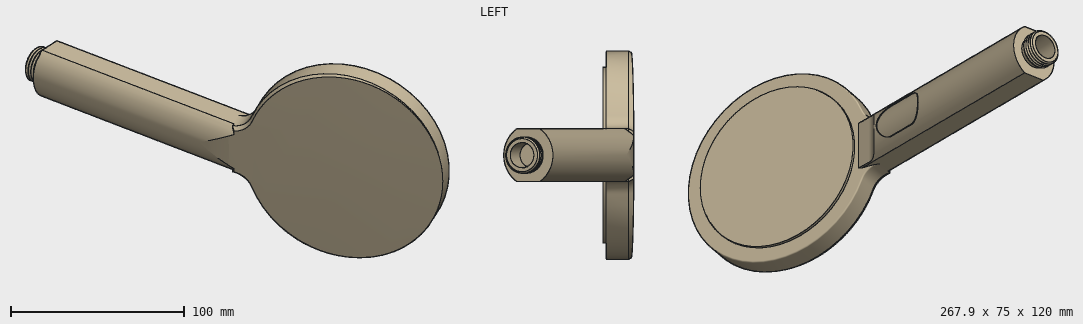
import cadquery as cq
import math


head_radius = 60.0
wall_front = 3.2
wall_back = 16.0
rim_fillet = 0.8
face_taper = 30
dome_radius = 1820.5
dome_apex_x = -45.5
spray_plate_radius = 50.5
spray_plate_back = 18.0

neck_half_width = 15.3
neck_blend_radius = 12.0

handle_angle = 20.5
handle_end_x = -195.0
handle_end_y = 60.8
handle_half_depth = 15.13
handle_flat_half = 7.0
handle_inner_x = -51
front_bend_radius = 67

shoulder_top_x = -71.8
shoulder_foot_x = -65.9
shoulder_foot_y = 20.5
shoulder_radius = 2.1
shoulder_foot_radius = 10.7

button_start = 86.5
button_length = 37.2
button_width = 19.8
button_depth = 0.5

connector_length = 10.2
collar_length = 2.5
collar_radius = 9.0
thread_radius = 10.5
thread_depth = 0.95
thread_turns = 4
bore_radius = 7.2
bore_depth = 16

slope = math.tan(math.radians(handle_angle))
cos_tilt = math.cos(math.radians(handle_angle))
sin_tilt = math.sin(math.radians(handle_angle))

handle_plane = cq.Plane(
    origin=(handle_end_x, handle_end_y, 0),
    xDir=(sin_tilt, cos_tilt, 0),
    normal=(cos_tilt, -sin_tilt, 0),
)


def head_outline(y):
    """Disc with concave blends into a short straight-sided neck, drawn at the given Y."""
    blend_z = neck_half_width + neck_blend_radius
    centre_distance = head_radius + neck_blend_radius
    blend_x = -math.sqrt(centre_distance**2 - blend_z**2)
    on_disc = head_radius / centre_distance
    disc_x = blend_x * on_disc
    disc_z = blend_z * on_disc
    start_angle = -math.pi / 2
    end_angle = math.atan2(-blend_z, -blend_x)
    middle_angle = (start_angle + end_angle) / 2
    middle_x = blend_x + neck_blend_radius * math.cos(middle_angle)
    middle_z = blend_z + neck_blend_radius * math.sin(middle_angle)
    return (
        cq.Workplane("XZ", origin=(0, y, 0))
        .moveTo(blend_x, -neck_half_width)
        .threePointArc((middle_x, -middle_z), (disc_x, -disc_z))
        .threePointArc((head_radius, 0), (disc_x, disc_z))
        .threePointArc((middle_x, middle_z), (blend_x, neck_half_width))
        .close()
    )


def handle_section(inset=0):
    """Two bulged faces joined by narrow side flats."""
    tip = handle_half_depth - inset
    flat = handle_flat_half - inset
    return (
        cq.Workplane(handle_plane)
        .moveTo(-flat, -neck_half_width)
        .lineTo(flat, -neck_half_width)
        .threePointArc((tip, 0), (flat, neck_half_width))
        .lineTo(-flat, neck_half_width)
        .threePointArc((-tip, 0), (-flat, -neck_half_width))
        .close()
    )


def make_dome():
    """Very large ball whose surface forms the shallow dome of the face."""
    return cq.Workplane("XY", origin=(dome_apex_x, dome_radius, 0)).sphere(dome_radius)


def make_head():
    wall = head_outline(wall_front).extrude(wall_front - wall_back)
    wall = wall.faces(">Y").edges().fillet(rim_fillet)
    face = head_outline(wall_front).extrude(wall_front, taper=face_taper)
    spray_plate = (
        cq.Workplane("XZ", origin=(0, wall_front, 0))
        .circle(spray_plate_radius)
        .extrude(wall_front - spray_plate_back)
    )
    return wall.union(face).union(spray_plate)


def make_handle():
    length = (handle_inner_x - handle_end_x) / cos_tilt + handle_half_depth
    bar = handle_section().extrude(length)

    front_x = handle_end_x - handle_half_depth * sin_tilt
    front_y = handle_end_y - handle_half_depth * cos_tilt
    back_x = handle_end_x + handle_half_depth * sin_tilt
    back_y = handle_end_y + handle_half_depth * cos_tilt
    bend = (front_x + front_y / slope, 0)
    shoulder = (shoulder_top_x, back_y - (shoulder_top_x - back_x) * slope)
    foot = (shoulder_foot_x, shoulder_foot_y)
    profile = (
        cq.Workplane("XY", origin=(0, 0, -neck_half_width))
        .polyline([
            (front_x, front_y),
            bend,
            (handle_inner_x, 0),
            (handle_inner_x, wall_back - rim_fillet),
            foot,
            shoulder,
            (back_x, back_y),
        ])
        .close()
        .extrude(2 * neck_half_width)
    )
    for corner, radius in (
        (bend, front_bend_radius),
        (shoulder, shoulder_radius),
        (foot, shoulder_foot_radius),
    ):
        profile = profile.edges(cq.selectors.NearestToPointSelector((*corner, 0))).fillet(radius)
    return bar.intersect(profile)


def make_button_recess():
    """Slot-shaped cutter with a floor that follows the bulged back of the handle."""
    button_middle = button_start + button_length / 2
    slot_plane = cq.Plane(
        origin=handle_plane.toWorldCoords((0, 0, button_middle)),
        xDir=handle_plane.zDir,
        normal=handle_plane.xDir,
    )
    slot = cq.Workplane(slot_plane).slot2D(button_length, button_width).extrude(2 * handle_half_depth)
    floor = handle_section(button_depth).extrude(button_start + 2 * button_length)
    return slot.cut(floor)


def make_connector():
    """Collar and ring-shaped thread, revolved about the handle axis."""
    pitch = (connector_length - collar_length) / thread_turns
    root_radius = thread_radius - thread_depth
    profile = (
        cq.Workplane("XY")
        .moveTo(0, 0)
        .lineTo(collar_radius, 0)
        .lineTo(collar_radius, -collar_length)
        .lineTo(root_radius, -collar_length)
    )
    for turn in range(thread_turns):
        start = collar_length + turn * pitch
        profile = (
            profile.lineTo(thread_radius, -start - pitch / 2)
            .lineTo(root_radius, -start - pitch)
        )
    solid = profile.lineTo(0, -connector_length).close().revolve(360, (0, 0), (0, 1))
    solid = solid.rotate((0, 0, 0), (1, 0, 0), 90)
    return cq.Workplane(solid.val().moved(cq.Location(handle_plane)))


bore = (
    cq.Workplane(handle_plane)
    .workplane(offset=-connector_length)
    .circle(bore_radius)
    .extrude(bore_depth)
)

body = make_head().union(make_handle()).intersect(make_dome())
result = body.cut(make_button_recess()).union(make_connector()).cut(bore)